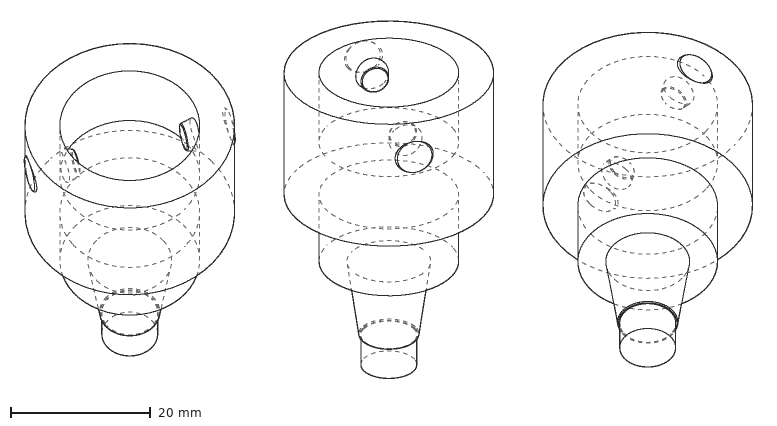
import cadquery as cq

total_height = 48.0
collar_diameter = 30.0
collar_height = 20.0
neck_diameter = collar_diameter * 2 / 3
neck_height = 11.0
cone_top_diameter = 12.0
cone_bottom_diameter = 8.65
cone_bottom_chamfer = 0.15
tip_diameter = 8.0
tip_height = 4.9

bore_diameter = neck_diameter
bore_depth = 11.4

pin_depth = 5.6
pin_diameter = 5.75
pin_outer_diameter = 5.1
pin_root_diameter = 5.0
pin_nose_diameter = 4.1
pin_nose_chamfer = 0.15
pin_protrusion = 2.0
pin_outer_chamfer = (pin_diameter - pin_outer_diameter) / 2

collar_bottom = total_height - collar_height
neck_bottom = collar_bottom - neck_height
collar_radius = collar_diameter / 2
bore_radius = bore_diameter / 2


def make_body():
    """Revolve the half profile of the stepped body about Z."""
    return (
        cq.Workplane("XZ")
        .lineTo(tip_diameter / 2, 0)
        .lineTo(tip_diameter / 2, tip_height)
        .lineTo(cone_bottom_diameter / 2 - cone_bottom_chamfer, tip_height)
        .lineTo(cone_bottom_diameter / 2, tip_height + cone_bottom_chamfer)
        .lineTo(cone_top_diameter / 2, neck_bottom)
        .lineTo(neck_diameter / 2, neck_bottom)
        .lineTo(neck_diameter / 2, collar_bottom)
        .lineTo(collar_radius, collar_bottom)
        .lineTo(collar_radius, total_height)
        .lineTo(bore_radius, total_height)
        .lineTo(bore_radius, total_height - bore_depth)
        .lineTo(0, total_height - bore_depth)
        .close()
        .revolve(360, (0, 0), (0, 1))
    )


def make_pin():
    """Revolve a pin about the Y axis: chamfered tapered nose, shank, chamfered outer end."""
    nose_y = bore_radius - pin_protrusion
    return (
        cq.Workplane("XY")
        .moveTo(0, nose_y)
        .lineTo(pin_nose_diameter / 2 - pin_nose_chamfer, nose_y)
        .lineTo(pin_nose_diameter / 2, nose_y + pin_nose_chamfer)
        .lineTo(pin_root_diameter / 2, bore_radius)
        .lineTo(pin_diameter / 2, bore_radius + pin_outer_chamfer)
        .lineTo(pin_diameter / 2, collar_radius - pin_outer_chamfer)
        .lineTo(pin_outer_diameter / 2, collar_radius)
        .lineTo(0, collar_radius)
        .close()
        .revolve(360, (0, 0), (0, 1))
        .translate((0, 0, total_height - pin_depth))
    )


result = make_body()
for angle in (0, 180):
    result = result.union(make_pin().rotate((0, 0, 0), (0, 0, 1), angle))